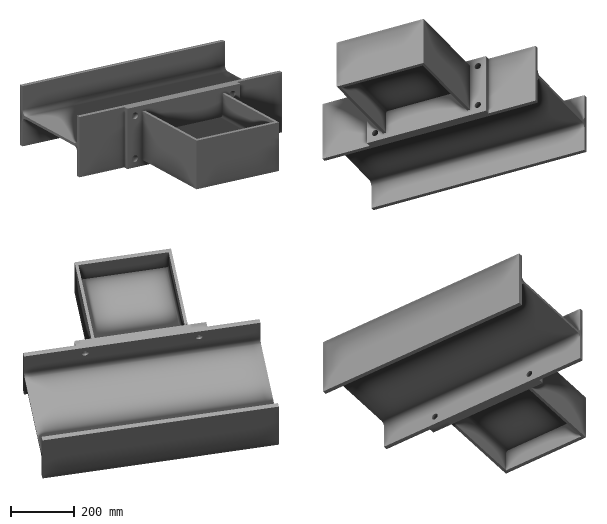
import cadquery as cq

BEAM_LENGTH = 762.0
BEAM_DEPTH = 350.0
BEAM_HEIGHT = 204.0
BEAM_FLANGE = 14.5
BEAM_WEB = 9.0
BEAM_FILLET = 16.0

PLATE_THICKNESS = 18.0
PLATE_LENGTH = 425.0

STUB_LENGTH = 305.5
STUB_DEPTH = 311.0
STUB_HEIGHT = 164.5
STUB_FLANGE = 10.0
STUB_WEB = 6.0
STUB_FILLET = 8.5

CAP_THICKNESS = 13.0

BOLT_DIAMETER = 22.0
BOLT_SPACING_Y = 367.0
BOLT_SPACING_Z = 145.0

PLATE_X = BEAM_DEPTH
STUB_X = PLATE_X + PLATE_THICKNESS
CAP_X = STUB_X + STUB_LENGTH


def i_section(plane, depth, height, flange, web, fillet, length):
    """Extrude an I-section centred on the plane; its web lies along local x."""
    half_inner = depth / 2 - flange
    flange_centers = [(side * (depth - flange) / 2, 0) for side in (-1, 1)]
    flanges = cq.Workplane(plane).pushPoints(flange_centers).rect(flange, height).extrude(length)
    section = cq.Workplane(plane).rect(2 * half_inner, web).extrude(length).union(flanges)

    for side_x in (-1, 1):
        for side_y in (-1, 1):
            corner_x = side_x * half_inner
            corner_y = side_y * web / 2
            center_x = corner_x - side_x * fillet
            center_y = corner_y + side_y * fillet
            block_center = ((corner_x + center_x) / 2, (corner_y + center_y) / 2)
            block = cq.Workplane(plane).center(*block_center).rect(fillet, fillet).extrude(length)
            round_cut = cq.Workplane(plane).center(center_x, center_y).circle(fillet).extrude(length)
            section = section.union(block.cut(round_cut))
    return section


def plate(start_x, thickness, length, height):
    """Flat plate normal to X, centred on Y and Z."""
    return cq.Workplane("YZ", origin=(start_x, 0, 0)).rect(length, height).extrude(thickness)


def make_bolt_bores():
    """Cylinders that pass through the +X flange and the connection plate."""
    return (
        cq.Workplane("YZ", origin=(BEAM_DEPTH - BEAM_FLANGE, 0, 0))
        .rect(BOLT_SPACING_Y, BOLT_SPACING_Z, forConstruction=True)
        .vertices()
        .circle(BOLT_DIAMETER / 2)
        .extrude(BEAM_FLANGE + PLATE_THICKNESS)
    )


def make_main_beam():
    end_plane = cq.Plane(
        origin=(BEAM_DEPTH / 2, BEAM_LENGTH / 2, 0), xDir=(1, 0, 0), normal=(0, -1, 0)
    )
    beam = i_section(
        end_plane, BEAM_DEPTH, BEAM_HEIGHT, BEAM_FLANGE, BEAM_WEB, BEAM_FILLET, BEAM_LENGTH
    )
    return beam.cut(make_bolt_bores())


def make_connection_plate():
    return plate(PLATE_X, PLATE_THICKNESS, PLATE_LENGTH, BEAM_HEIGHT).cut(make_bolt_bores())


def make_stub_beam():
    end_plane = cq.Plane(origin=(STUB_X, 0, 0), xDir=(0, 1, 0), normal=(1, 0, 0))
    return i_section(
        end_plane, STUB_DEPTH, STUB_HEIGHT, STUB_FLANGE, STUB_WEB, STUB_FILLET, STUB_LENGTH
    )


def make_cap_plate():
    return plate(CAP_X, CAP_THICKNESS, STUB_DEPTH, STUB_HEIGHT)


main_beam = make_main_beam()
connection_plate = make_connection_plate()
stub_beam = make_stub_beam()
cap_plate = make_cap_plate()

result = cq.Compound.makeCompound(
    [main_beam.val(), connection_plate.val(), stub_beam.val(), cap_plate.val()]
)